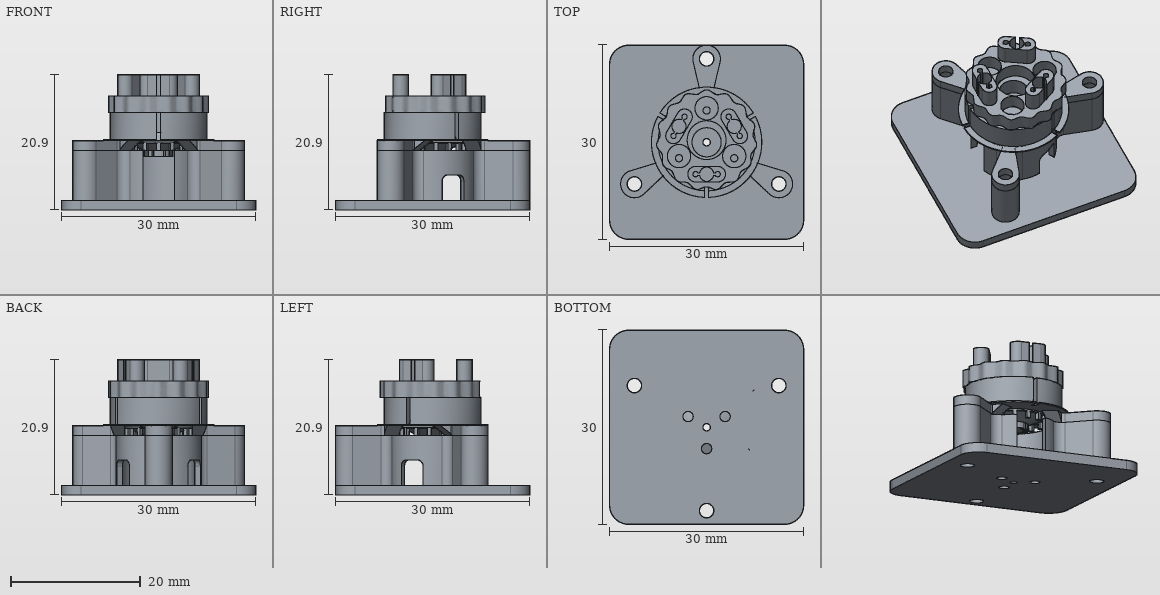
import cadquery as cq
import math

BASE_TOP = 1.5
LID_BOTTOM = 9.2
FLANGE_BOTTOM = 10.7
FLANGE_TOP = 10.9
BORE_FLOOR = 11.97
HEAD_TOP = 15.03
CAP_TOP = 17.6
POST_TOP = 20.9

MARGIN = 0.3

PLATE_SIDE = 30.0
PLATE_CORNER = 3.0
CENTER_HOLE_DIA = 1.1
WIRE_HOLE_DIA = 1.6
WIRE_HOLE_RADIUS = 3.3

WALL_RADIUS = 6.6
WALL_BORE_RADIUS = 5.65
EAR_RADIUS = 2.13
EAR_CENTER = PLATE_SIDE / 2 - EAR_RADIUS
EAR_HOLE_DIA = 2.2
EAR_TAPER = 13.3
EAR_SINK = 0.9
EAR_FILLET = 1.45
EAR_ANGLES = (90, 210, 330)
POST_ANGLES = (30, 150, 270)

GATE_WIDTH = 4.85
GATE_ANGLE = 270
DOOR_WIDTH = 3.85
DOOR_HEIGHT = 3.9
DOOR_CORNER = 0.9
DOOR_ANGLES = (30, 150)

FLANGE_RADIUS = 8.52
DRUM_RADIUS = 7.5
STRUT_FOOT = 0.78
STRUT_SPREAD = 2.65
SOCKET_DIA = 4.5
STATION_RADIUS = 4.92
PIN_HOLE_DIA = 1.1

POST_WIDTH = 2.4
POST_SPACING = 3.42
POST_BORE_DIA = 2.2
LEAD_HOLE_DIA = 0.8
LEAD_SLIT = 0.35
SLOT_WIDTH = 0.6
RAMP_END_RADIUS = 6.9

CAP_SHIFT = 0.33
LOBES = 15
FIRST_LOBE_ANGLE = 90
LOBE_RADIUS = 7.77
VALLEY_RADIUS = 7.2
POINTS_PER_LOBE = 8
CAP_CENTER_DIA = 6.0
CAP_BORE_DIA = 3.6

ROTOR_RADIUS = 5.25
RIB_INNER_RADIUS = 4.65
ROTOR_TOP = 10.47
ROTOR_PLATE = 0.2
RIB_WIDTH = 0.6
RIBS = 15
HUB_BOTTOM = 8.25
HUB_DIA = 4.5
HUB_SLOT = 0.3
HUB_SLOT_DEPTH = 0.75


def polar(radius, angle):
    return (radius * math.cos(math.radians(angle)), radius * math.sin(math.radians(angle)))


def cylinder(radius, bottom, top, center=(0, 0)):
    return cq.Workplane("XY", origin=(*center, bottom)).circle(radius).extrude(top - bottom)


def block(x_min, x_max, width, bottom, top):
    """Box along +X, centered on the X axis in Y."""
    return (
        cq.Workplane("XY", origin=((x_min + x_max) / 2, 0, bottom))
        .rect(x_max - x_min, width)
        .extrude(top - bottom)
    )


def turned(shape, angle):
    return shape.rotate((0, 0, 0), (0, 0, 1), angle)


def ear(bottom, top):
    """Tapered ear along +X with a round end."""
    taper = math.radians(EAR_TAPER)
    flank_x = EAR_CENTER - EAR_RADIUS * math.sin(taper)
    flank_y = EAR_RADIUS * math.cos(taper)
    root_x = WALL_RADIUS - EAR_SINK
    root_y = flank_y - (flank_x - root_x) * math.tan(taper)
    return (
        cq.Workplane("XY", origin=(0, 0, bottom))
        .moveTo(root_x, -root_y)
        .lineTo(flank_x, -flank_y)
        .threePointArc((EAR_CENTER + EAR_RADIUS, 0), (flank_x, flank_y))
        .lineTo(root_x, root_y)
        .close()
        .extrude(top - bottom)
    )


def eared_disc(bottom, top):
    """Disc with three ears, filleted where the ears leave the disc, with the ear holes."""
    body = cylinder(WALL_RADIUS, bottom, top)
    for angle in EAR_ANGLES:
        body = body.union(turned(ear(bottom, top), angle))
    reach = WALL_RADIUS + MARGIN
    root_zone = cq.selectors.BoxSelector((-reach, -reach, bottom), (reach, reach, top))
    body = body.edges("|Z").edges(root_zone).fillet(EAR_FILLET)
    for angle in EAR_ANGLES:
        body = body.cut(cylinder(EAR_HOLE_DIA / 2, bottom, top, polar(EAR_CENTER, angle)))
    return body


def make_housing():
    plate = (
        cq.Workplane("XY")
        .rect(PLATE_SIDE, PLATE_SIDE)
        .extrude(BASE_TOP)
        .edges("|Z")
        .fillet(PLATE_CORNER)
    )
    plate = plate.cut(cylinder(CENTER_HOLE_DIA / 2, 0, BASE_TOP))
    for angle in EAR_ANGLES:
        plate = plate.cut(cylinder(EAR_HOLE_DIA / 2, 0, BASE_TOP, polar(EAR_CENTER, angle)))
        wire_hole_center = polar(WIRE_HOLE_RADIUS, angle)
        plate = plate.cut(cylinder(WIRE_HOLE_DIA / 2, 0, BASE_TOP, wire_hole_center))

    wall = eared_disc(BASE_TOP, LID_BOTTOM).cut(cylinder(WALL_BORE_RADIUS, BASE_TOP, LID_BOTTOM))
    gate = block(0, WALL_RADIUS + MARGIN, GATE_WIDTH, BASE_TOP, LID_BOTTOM)
    wall = wall.cut(turned(gate, GATE_ANGLE))
    door = block(0, WALL_RADIUS + MARGIN, DOOR_WIDTH, BASE_TOP, BASE_TOP + DOOR_HEIGHT)
    door = door.edges("|X and >Z").fillet(DOOR_CORNER)
    for angle in DOOR_ANGLES:
        wall = wall.cut(turned(door, angle))
    return plate.union(wall)


def post_outline(bottom, top):
    """Solid post with rounded ends, on +X, long across the radius."""
    return (
        cq.Workplane("XY", origin=(STATION_RADIUS, 0, bottom))
        .slot2D(POST_SPACING + POST_WIDTH, POST_WIDTH, 90)
        .extrude(top - bottom)
    )


def post_cavity():
    """Flat-bottomed bore, lead holes and radial slot of the post on +X; a ramp leads the slot out."""
    bore_radius = POST_BORE_DIA / 2
    bore = cylinder(bore_radius, BORE_FLOOR, POST_TOP, (STATION_RADIUS, 0))
    slot = block(STATION_RADIUS, FLANGE_RADIUS + MARGIN, SLOT_WIDTH, FLANGE_BOTTOM, POST_TOP)
    ramp = (
        cq.Workplane("XZ")
        .moveTo(STATION_RADIUS - bore_radius, FLANGE_BOTTOM)
        .lineTo(STATION_RADIUS - bore_radius, BORE_FLOOR)
        .lineTo(STATION_RADIUS + bore_radius, BORE_FLOOR)
        .lineTo(RAMP_END_RADIUS, FLANGE_BOTTOM)
        .close()
        .extrude(bore_radius, both=True)
    )
    cavity = bore.union(slot).cut(ramp)
    for side in (-1, 1):
        lead_y = side * POST_SPACING / 2
        cavity = cavity.union(
            cylinder(LEAD_HOLE_DIA / 2, BORE_FLOOR, POST_TOP, (STATION_RADIUS, lead_y))
        )
    slit = (
        cq.Workplane("XY", origin=(STATION_RADIUS, 0, BORE_FLOOR))
        .rect(LEAD_SLIT, POST_SPACING)
        .extrude(POST_TOP - BORE_FLOOR)
    )
    return cavity.union(slit)


def make_struts():
    """Ring sectors that carry the flange on the ears and widen upward."""
    ring = cylinder(DRUM_RADIUS, LID_BOTTOM, FLANGE_BOTTOM)
    wedge = (
        cq.Workplane("YZ")
        .moveTo(-STRUT_FOOT, LID_BOTTOM)
        .lineTo(STRUT_FOOT, LID_BOTTOM)
        .lineTo(STRUT_SPREAD, FLANGE_BOTTOM)
        .lineTo(-STRUT_SPREAD, FLANGE_BOTTOM)
        .close()
        .extrude(DRUM_RADIUS + MARGIN)
    )
    wedges = turned(wedge, EAR_ANGLES[0])
    for angle in EAR_ANGLES[1:]:
        wedges = wedges.union(turned(wedge, angle))
    return ring.intersect(wedges).cut(cylinder(ROTOR_RADIUS, LID_BOTTOM, FLANGE_BOTTOM))


def make_head():
    ears = eared_disc(LID_BOTTOM, FLANGE_BOTTOM).cut(
        cylinder(DRUM_RADIUS, LID_BOTTOM, FLANGE_BOTTOM)
    )
    head = make_struts().union(ears)
    head = head.union(cylinder(FLANGE_RADIUS, FLANGE_BOTTOM, FLANGE_TOP))
    head = head.union(cylinder(DRUM_RADIUS, FLANGE_BOTTOM, HEAD_TOP))
    for angle in POST_ANGLES:
        head = head.union(turned(post_outline(HEAD_TOP, POST_TOP), angle))
    for angle in POST_ANGLES:
        head = head.cut(turned(post_cavity(), angle))
    for angle in EAR_ANGLES:
        head = head.cut(
            cylinder(PIN_HOLE_DIA / 2, BORE_FLOOR, HEAD_TOP, polar(STATION_RADIUS, angle))
        )
    head = head.cut(cylinder(SOCKET_DIA / 2, BORE_FLOOR, HEAD_TOP))
    return head.cut(cylinder(CENTER_HOLE_DIA / 2, FLANGE_BOTTOM, HEAD_TOP))


def make_cap():
    """Knurled cap with bores, fitted around the posts."""
    mean_radius = (LOBE_RADIUS + VALLEY_RADIUS) / 2
    wave = (LOBE_RADIUS - VALLEY_RADIUS) / 2
    rim_points = LOBES * POINTS_PER_LOBE
    rim = []
    for index in range(rim_points):
        turn = index * 360 / rim_points
        radius = mean_radius + wave * math.cos(math.radians(LOBES * turn))
        rim.append(polar(radius, FIRST_LOBE_ANGLE + turn))
    outline = cq.Workplane("XY", origin=(0, 0, HEAD_TOP)).spline(rim, periodic=True)
    cap = outline.close().extrude(CAP_TOP - HEAD_TOP)
    cap = cap.cut(cylinder(CAP_CENTER_DIA / 2, HEAD_TOP, CAP_TOP))
    for angle in EAR_ANGLES:
        cap = cap.cut(cylinder(CAP_BORE_DIA / 2, HEAD_TOP, CAP_TOP, polar(STATION_RADIUS, angle)))
    cap = cap.translate((0, CAP_SHIFT, 0))
    for angle in POST_ANGLES:
        cap = cap.cut(turned(post_outline(HEAD_TOP, CAP_TOP), angle))
    return cap


def make_rotor():
    """Round plate with ribs around its rim and a conical core that leads to a slotted hub."""
    plate_bottom = ROTOR_TOP - ROTOR_PLATE
    rotor = cylinder(ROTOR_RADIUS, plate_bottom, ROTOR_TOP)
    core = (
        cq.Workplane("XZ")
        .moveTo(0, LID_BOTTOM)
        .lineTo(HUB_DIA / 2, LID_BOTTOM)
        .lineTo(RIB_INNER_RADIUS, plate_bottom)
        .lineTo(0, plate_bottom)
        .close()
        .revolve(360, (0, 0), (0, 1))
    )
    rotor = rotor.union(core)
    rib = block(RIB_INNER_RADIUS, ROTOR_RADIUS, RIB_WIDTH, LID_BOTTOM, plate_bottom)
    hub = cylinder(HUB_DIA / 2, HUB_BOTTOM, LID_BOTTOM)
    hub_slot = block(HUB_DIA / 2 - HUB_SLOT_DEPTH, HUB_DIA, HUB_SLOT, HUB_BOTTOM, LID_BOTTOM)
    for index in range(RIBS):
        angle = GATE_ANGLE + index * 360 / RIBS
        rotor = rotor.union(turned(rib, angle))
        if index > 0:
            hub = hub.cut(turned(hub_slot, angle))
    rotor = rotor.union(hub).intersect(cylinder(ROTOR_RADIUS, HUB_BOTTOM, ROTOR_TOP))
    return rotor.cut(cylinder(CENTER_HOLE_DIA / 2, HUB_BOTTOM, ROTOR_TOP))


housing = make_housing()
head = make_head()
cap = make_cap()
rotor = make_rotor()

result = cq.Compound.makeCompound([housing.val(), head.val(), cap.val(), rotor.val()])